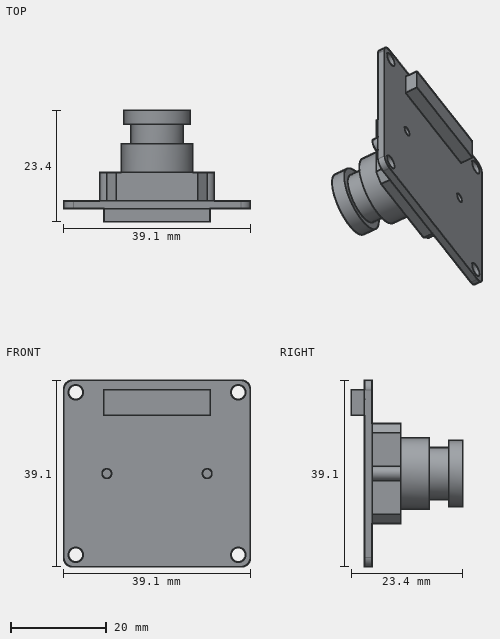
import cadquery as cq

board_side = 39.1
board_thickness = 1.6
board_corner_radius = 2.0
mount_hole_diameter = 3.0
mount_hole_spacing = 34.0

connector_width = 22.2
connector_height = 5.4
connector_depth = 2.8
connector_top_gap = 2.0

holder_side = 21.0
holder_chamfer = 2.0
holder_depth = 6.0
lug_diameter = 3.0
lug_spacing = holder_side
screw_hole_diameter = 2.0

barrel = (15.0, 6.0)
neck = (11.0, 4.0)
cap = (14.0, 3.0)

board_back = board_thickness
holder_back = board_back + holder_depth


def plane_at(y):
    """Sketch plane at height y whose normal is +Y; local x is +Z and local y is +X."""
    return cq.Workplane(cq.Plane(origin=(0, y, 0), xDir=(0, 0, 1), normal=(0, 1, 0)))


def make_board():
    board = plane_at(0).rect(board_side, board_side).extrude(board_thickness)
    board = board.edges("|Y").fillet(board_corner_radius)
    mount_holes = (
        plane_at(0)
        .rect(mount_hole_spacing, mount_hole_spacing, forConstruction=True)
        .vertices()
        .circle(mount_hole_diameter / 2)
        .extrude(board_thickness)
    )
    return board.cut(mount_holes)


def make_connector():
    center_z = board_side / 2 - connector_top_gap - connector_height / 2
    return (
        plane_at(0)
        .center(center_z, 0)
        .rect(connector_height, connector_width)
        .extrude(-connector_depth)
    )


def lug_cylinders(y, diameter, length):
    """One cylinder on each lug axis, starting at y and running toward +Y."""
    lug_centers = [(0, -lug_spacing / 2), (0, lug_spacing / 2)]
    return plane_at(y).pushPoints(lug_centers).circle(diameter / 2).extrude(length)


def make_holder():
    body = plane_at(board_back).rect(holder_side, holder_side).extrude(holder_depth)
    body = body.edges("|Y").chamfer(holder_chamfer)
    return body.union(lug_cylinders(board_back, lug_diameter, holder_depth))


def make_lens():
    lens = cq.Workplane()
    step_start = holder_back
    for diameter, length in (barrel, neck, cap):
        lens = lens.union(plane_at(step_start).circle(diameter / 2).extrude(length))
        step_start += length
    return lens


board = make_board().cut(lug_cylinders(0, screw_hole_diameter, board_thickness))
result = board.union(make_connector()).union(make_holder()).union(make_lens())